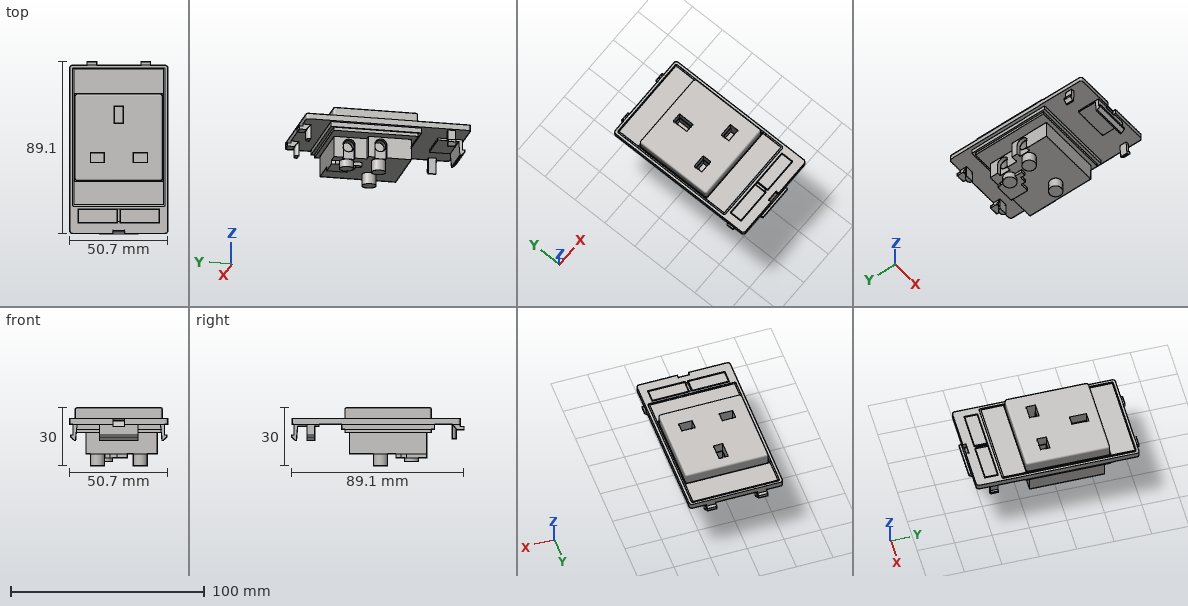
import cadquery as cq


plate_x = 50.7
plate_y = 86.9
plate_t = 3.0
plate_corner_r = 1.5
plate_front = -plate_y / 2
plate_rear = plate_y / 2
plate_bottom = -plate_t

socket_y = 6.1
socket_x_size = 45.0
socket_y_size = 44.7
socket_h = 5.5
socket_corner_r = 1.25
socket_top_fillet = 1.0
socket_gap = 0.3
socket_gap_depth = 0.3
upper_step_x = 47.0
upper_step_y = 48.0
upper_step_bottom = -5.6
lower_step_bottom = -7.3

groove_outer_x = 47.9
groove_rear = 42.1
groove_front = -29.5
groove_corner_r = 0.9
groove_side_w = 0.8
groove_rear_w = 0.5
groove_front_w = 0.9
groove_depth = 0.2

pin_x = 11.0
live_pin_y = -4.2
live_pin_w = 7.3
live_pin_h = 5.0
earth_pin_y = 17.8
earth_pin_w = 5.0
earth_pin_h = 9.0
pin_ledge = 0.3
pin_hole_bottom = -5.3

body_left = -17.0
body_right = 19.9
body_y_size = 40.05
body_bottom = -18.3
body_rear = socket_y + body_y_size / 2
rear_recess_y = 8.8
rear_recess_depth = 3.9

entry_w = 6.2
entry_depth = 2.2
entry_hole_d = 6.0
entry_hole_depth = 3.6
entry_z = -11.4

screw_d = 7.4
live_screw_y = 2.2
live_screw_bottom = -24.5
earth_screw_x = -6.9
earth_screw_y = 18.2
earth_screw_bottom = -22.3

cover_left = -7.2
cover_bottom = -20.3
cover_front = 10.15
cover_step_x = (-4.5, -0.8, 4.4)
cover_step_y = 2.7
cover_bevel_x = 0.7
cover_bevel_y = 2.05

clip_leg_t = 2.05
clip_tip_inset = 0.6
clip_tip_t = 0.7
clip_hook = 1.2
clip_ledge_z = -8.45
clip_hook_z = -9.6
clip_bottom = -11.4
front_clip_w = 20.0
front_clip_y = plate_front + 0.9
front_pad_rear = -29.5
front_pad_bottom = -4.1
side_clip_w = 4.1
side_clip_x = 23.7
side_clip_y = -33.7

tab_x = 13.9
tab_w = 5.1
tab_tip = plate_rear + 1.9
tab_top = -4.1
tab_bottom = -5.9
tab_leg_front = 39.2
tab_leg_rear = 41.3
tab_leg_r = 2.5
tab_leg_bottom = -10.5
tab_gusset_bottom = -5.3

notch_w = 6.1
notch_back = plate_front + 1.6
notch_lip_z = -0.8
notch_undercut = 0.5
notch_undercut_z = -1.4
notch_bottom = -4.1

label_rear = -30.9
label_front = -38.1
label_inner = 0.7
label_outer = 21.0
label_gap = 0.3
label_gap_depth = 0.45
label_depth = 0.1
label_slot_front = -37.1
label_slot_depth = 1.3


def box(x0, x1, y0, y1, z0, z1):
    """Box given by its limits along each axis."""
    return cq.Workplane("XY").box(x1 - x0, y1 - y0, z1 - z0, centered=False).translate((x0, y0, z0))


def centred_box(x, y, x_size, y_size, z0, z1):
    """Box centred on (x, y), between two heights."""
    return box(x - x_size / 2, x + x_size / 2, y - y_size / 2, y + y_size / 2, z0, z1)


def across_x(points, x, width):
    """Prism with a (y, z) outline, centred on x."""
    return cq.Workplane("YZ").polyline(points).close().extrude(width / 2, both=True).translate((x, 0, 0))


def upright_cylinder(x, y, diameter, z0, z1):
    return cq.Workplane("XY").circle(diameter / 2).extrude(z1 - z0).translate((x, y, z0))


def plate():
    body = centred_box(0, 0, plate_x, plate_y, plate_bottom, 0)
    return body.edges("|Z").fillet(plate_corner_r)


def socket_face():
    face = centred_box(0, socket_y, socket_x_size, socket_y_size, plate_bottom, socket_h)
    return face.edges("|Z").fillet(socket_corner_r).faces(">Z").edges().fillet(socket_top_fillet)


def socket_opening():
    """Shallow square-cornered opening that leaves a narrow gap around the socket face."""
    x_size = socket_x_size + 2 * socket_gap
    y_size = socket_y_size + 2 * socket_gap
    return centred_box(0, socket_y, x_size, y_size, -socket_gap_depth, 0)


def lower_steps():
    upper = centred_box(0, socket_y, upper_step_x, upper_step_y, upper_step_bottom, plate_bottom)
    lower = centred_box(0, socket_y, socket_x_size, socket_y_size, lower_step_bottom, upper_step_bottom)
    return upper.union(lower)


def panel_groove():
    half_x = groove_outer_x / 2
    outer = box(-half_x, half_x, groove_front, groove_rear, -groove_depth, 0)
    outer = outer.edges("|Z").fillet(groove_corner_r)
    island_x = half_x - groove_side_w
    island_front = groove_front + groove_front_w
    island_rear = groove_rear - groove_rear_w
    island = box(-island_x, island_x, island_front, island_rear, -groove_depth, 0)
    return outer.cut(island)


def pin_openings():
    """Three openings that narrow by a small ledge below the plate top.

    The earth ledge runs all round. Each live cavity keeps its outer and front
    walls straight, so its ledge is on the inner and rear sides only.
    """
    earth = centred_box(0, earth_pin_y, earth_pin_w, earth_pin_h, 0, socket_h)
    cavity_w = earth_pin_w - 2 * pin_ledge
    cavity_h = earth_pin_h - 2 * pin_ledge
    earth_cavity = centred_box(0, earth_pin_y, cavity_w, cavity_h, pin_hole_bottom, 0)
    openings = earth.union(earth_cavity)
    for side in (-1, 1):
        live = centred_box(side * pin_x, live_pin_y, live_pin_w, live_pin_h, 0, socket_h)
        cavity = centred_box(
            side * (pin_x + pin_ledge / 2),
            live_pin_y - pin_ledge / 2,
            live_pin_w - pin_ledge,
            live_pin_h - pin_ledge,
            pin_hole_bottom,
            0,
        )
        openings = openings.union(live).union(cavity)
    return openings


def wire_entry(face_x, y):
    """Round-topped notch in a left-hand face, and the wire hole in its floor."""
    notch = (
        cq.Workplane("YZ")
        .moveTo(-entry_w / 2, body_bottom)
        .lineTo(-entry_w / 2, entry_z)
        .threePointArc((0, entry_z + entry_w / 2), (entry_w / 2, entry_z))
        .lineTo(entry_w / 2, body_bottom)
        .close()
        .extrude(entry_depth)
    )
    hole = cq.Workplane("YZ").center(0, entry_z).circle(entry_hole_d / 2).extrude(entry_depth + entry_hole_depth)
    return notch.union(hole).translate((face_x, y, 0))


def terminal_body():
    recess_x = body_left + rear_recess_depth
    front_y = socket_y - body_y_size / 2
    body = box(body_left, body_right, front_y, body_rear, body_bottom, lower_step_bottom)
    body = body.cut(box(body_left, recess_x, rear_recess_y, body_rear, body_bottom, lower_step_bottom))
    body = body.cut(wire_entry(body_left, live_screw_y))
    return body.cut(wire_entry(recess_x, earth_screw_y))


def terminal_screws():
    screws = upright_cylinder(earth_screw_x, earth_screw_y, screw_d, earth_screw_bottom, body_bottom)
    for x in (-pin_x, pin_x):
        screws = screws.union(upright_cylinder(x, live_screw_y, screw_d, live_screw_bottom, body_bottom))
    return screws


def terminal_cover():
    """Plate whose front edge steps back towards +X, with a bevelled rear left corner."""
    outline = [
        (cover_left + cover_bevel_x, body_rear),
        (cover_left, body_rear - cover_bevel_y),
    ]
    step_start = cover_left
    step_y = cover_front
    for step_end in cover_step_x:
        outline += [(step_start, step_y), (step_end, step_y)]
        step_start = step_end
        step_y += cover_step_y
    outline.append((cover_step_x[-1], body_rear))
    cover = cq.Workplane("XY").polyline(outline).close().extrude(body_bottom - cover_bottom)
    return cover.translate((0, 0, cover_bottom))


def snap_clip(width):
    """Clip hooking towards -Y, outer leg face at y = 0, centred on x = 0."""
    outline = [
        (0, plate_bottom),
        (0, clip_ledge_z),
        (-clip_hook, clip_ledge_z),
        (-clip_hook, clip_hook_z),
        (clip_leg_t - clip_tip_inset - clip_tip_t, clip_bottom),
        (clip_leg_t - clip_tip_inset, clip_bottom),
        (clip_leg_t, front_pad_bottom),
        (clip_leg_t, plate_bottom),
    ]
    return across_x(outline, 0, width)


def snap_clips():
    clips = snap_clip(front_clip_w).translate((0, front_clip_y, 0))
    half_w = front_clip_w / 2
    clips = clips.union(box(-half_w, half_w, front_clip_y, front_pad_rear, front_pad_bottom, plate_bottom))
    side_clip = snap_clip(side_clip_w)
    for side in (-1, 1):
        turned = side_clip.rotate((0, 0, 0), (0, 0, 1), side * 90)
        clips = clips.union(turned.translate((side * side_clip_x, side_clip_y, 0)))
    return clips


def rear_tab(x):
    """Tab reaching past the rear edge, on a leg with a rounded rear side."""
    tab = across_x(
        [
            (tab_leg_front, plate_bottom),
            (plate_rear, plate_bottom),
            (plate_rear, tab_top),
            (tab_tip, tab_top),
            (tab_tip, tab_bottom),
            (tab_leg_rear, tab_bottom),
            (tab_leg_rear, tab_gusset_bottom),
        ],
        x,
        tab_w,
    )
    leg = upright_cylinder(x, tab_leg_rear - tab_leg_r, 2 * tab_leg_r, tab_leg_bottom, plate_bottom)
    leg = leg.intersect(box(x - tab_w, x + tab_w, tab_leg_front, tab_leg_rear, tab_leg_bottom, plate_bottom))
    return tab.union(leg)


def release_notch():
    outline = [
        (plate_front, 0),
        (notch_back, 0),
        (notch_back, notch_lip_z),
        (notch_back + notch_undercut, notch_undercut_z),
        (front_clip_y, notch_bottom),
        (plate_front, notch_bottom),
    ]
    return across_x(outline, 0, notch_w)


def label_windows():
    """Two sunk labels, each with a gap around it, and a deeper slot between them."""
    windows = box(-label_inner, label_inner, label_slot_front, label_rear, -label_slot_depth, 0)
    centre_x = (label_inner + label_outer) / 2
    centre_y = (label_front + label_rear) / 2
    x_size = label_outer - label_inner
    y_size = label_rear - label_front
    for side in (-1, 1):
        window = centred_box(side * centre_x, centre_y, x_size, y_size, -label_gap_depth, 0)
        label_x = x_size - 2 * label_gap
        label_y = y_size - 2 * label_gap
        label = centred_box(side * centre_x, centre_y, label_x, label_y, -label_gap_depth, -label_depth)
        windows = windows.union(window.cut(label))
    return windows


result = plate().cut(panel_groove()).cut(socket_opening()).cut(label_windows())
result = result.union(socket_face()).union(lower_steps()).cut(pin_openings())
result = result.union(terminal_body()).union(terminal_cover()).union(terminal_screws())
result = result.union(snap_clips()).cut(release_notch())
for x in (-tab_x, tab_x):
    result = result.union(rear_tab(x))